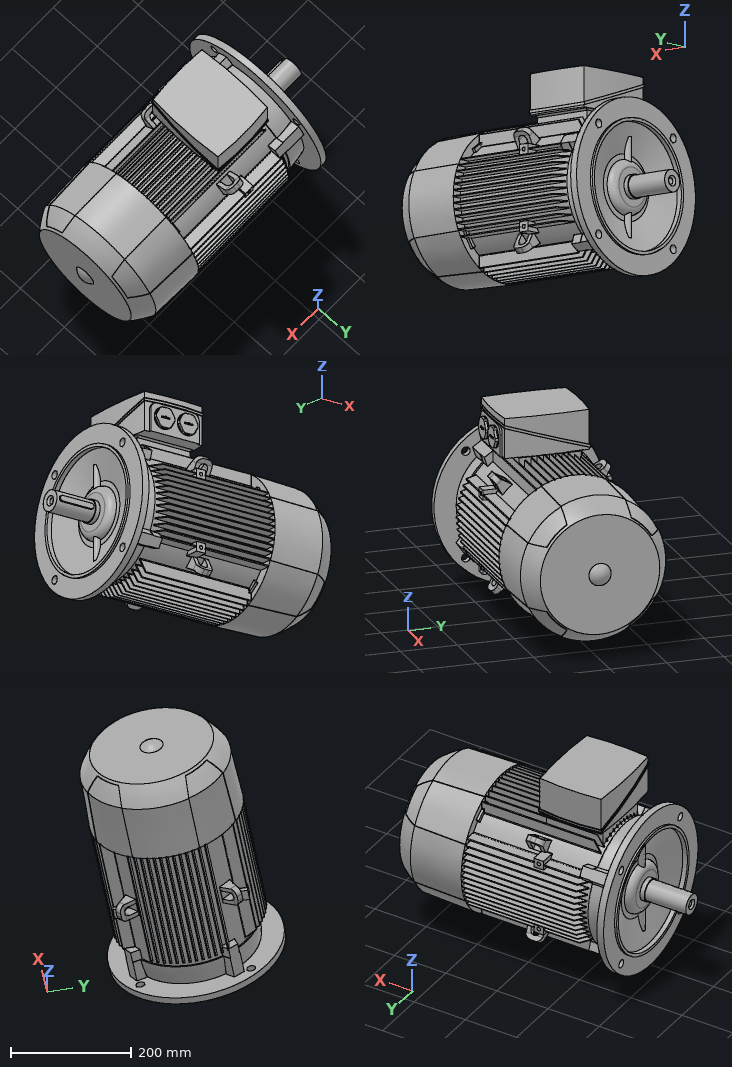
import cadquery as cq
import math


SHAFT_R = 19.0
SHAFT_LENGTH = 80.0
SHOULDER_R = 20.7
KEY_LENGTH = 70.0
KEY_WIDTH = 10.0
KEY_TOP = 22.0
KEY_END_GAP = 5.0
CENTRE_HOLE_R = 5.5
CENTRE_HOLE_DEPTH = 30.0
CENTRE_SINK_R = 9.0
DRILL_POINT_ANGLE = 118.0

FLANGE_R = 150.0
FLANGE_THICKNESS = 13.0
SPIGOT_R = 115.0
SPIGOT_HEIGHT = 4.0
BOLT_CIRCLE_R = 132.5
BOLT_HOLE_R = 7.25

DISH_R = 109.5
DISH_WALL_END = 5.0
DISH_FLOOR_R = 57.0
DISH_FLOOR_X = 22.3
HUB_R = 47.5
HUB_FACE_R = 33.7
RIB_R = 6.0
RIB_X = 17.8
RIB_TIP = 85.6
RIB_ROOT = 36.0

SHIELD_START_R = 111.0
SHIELD_MID_R = 114.5
SHIELD_R = 115.5
SHIELD_END = 51.5
LUG_ANGLE = 35.0
LUG_OUTER_R = 128.5
LUG_OUTER_WIDTH = 20.5
LUG_ROOT_R = 113.0
LUG_ROOT_WIDTH = 29.5
LUG_SLIMMING = 1.5
LUG_BASE_R = 100.0
LUG_END = 71.0

BARREL_R = 112.7
FIN_R = 130.5
FIN_COUNT = 13
FIN_PITCH = 10.9
FIN_THICKNESS = 1.8
FIN_START = 57.0
FIN_RAMP_LENGTH = 13.0

COWL_START = 290.0
COWL_R = 131.0
COWL_BEND_X = 391.0
COWL_BEND_R = 128.0
COWL_END = 426.5
COWL_END_R = 105.0
COWL_BULGE = 1.5
PANEL_EDGE = 56.6
PANEL_END = 422.0
PANEL_DEPTH = 0.8
CLIP_ANGLE = 55.0
CLIP_BASE_R = 107.0
CLIP_R = 118.5
CLIP_WIDTH = 37.0
CLIP_LENGTH = 5.0
KNOB_R = 19.5
KNOB_HEIGHT = 8.5

EYE_X = 166.5
EYE_WIDTH = 33.0
EYE_HOLE_WIDTH = 17.4
EYE_TIP_R = 144.7
EYE_NECK_R = 135.0
EYE_ROOT_R = 113.0
EYE_BASE_R = 105.0
EYE_TIP_THICKNESS = 11.0
EYE_ROOT_THICKNESS = 24.0
EYE_HOLE_TOP_R = 135.5
EYE_CORNER_R = 12.0
EYE_HOLE_CORNER_R = 8.0

BLOCK_X = 148.8
BLOCK_LENGTH = 19.0
BLOCK_Z = 65.4
BLOCK_HEIGHT = 17.4
BLOCK_INNER_Y = 86.0
BLOCK_OUTER_Y = 114.0
BLOCK_HOLE_R = 3.2
BLOCK_HOLE_DEPTH = 12.0

BOX_X0 = 55.5
BOX_X1 = 175.5
BOX_Y0 = -81.5
BOX_Y1 = 67.5
BOX_BULGE = 3.5
BOX_BOTTOM = 131.8
BOX_TOP = 202.0
SEAM_Z_FRONT = 188.5
SEAM_Z_BACK = 137.0
SEAM_THICKNESS = 5.0
SEAM_OVERHANG = 1.2
NECK_X0 = 60.0
NECK_X1 = 170.5
NECK_Y = 55.0
NECK_TAPER_HEIGHT = 3.5

PLATE_X0 = 65.0
PLATE_X1 = 166.0
PLATE_TOP = 185.0
PLATE_CORNER = 14.0
PLATE_Y = -86.2
PLUG_X = (91.3, 139.5)
PLUG_Z = 159.8
PLUG_COLLAR_R = 19.2
PLUG_COLLAR_Y = -88.0
PLUG_Y = -92.6
PLUG_ACROSS_FLATS = 35.5
PLUG_SLOT_LENGTH = 16.6
PLUG_STUD_WIDTH = 2.4
PLUG_STUD_HEIGHT = 4.0
PLUG_STUD_PROJECTION = 0.4
PLUG_SLOT_WIDTH = 2.0
PLUG_SLOT_DEPTH = 1.5

BOX_MID_X = (BOX_X0 + BOX_X1) / 2
BOX_MID_Y = (BOX_Y0 + BOX_Y1) / 2


def turn(shape, angle):
    """Turn a shape about the shaft axis."""
    return shape.rotate((0, 0, 0), (1, 0, 0), angle)


def around(shape, first_angle):
    """Four copies of a shape, a quarter turn apart about the shaft axis."""
    copies = turn(shape, first_angle)
    for quarter in (90, 180, 270):
        copies = copies.union(turn(shape, first_angle + quarter))
    return copies


def box(x0, x1, y0, y1, z0, z1):
    return cq.Workplane("XY").box(x1 - x0, y1 - y0, z1 - z0, centered=False).translate((x0, y0, z0))


def revolve(profile):
    """Revolve an (x, radius) profile about the shaft axis."""
    return profile.close().revolve(360, (0, 0, 0), (1, 0, 0))


def disc(x0, x1, radius):
    return cq.Workplane("YZ", origin=(x0, 0, 0)).circle(radius).extrude(x1 - x0)


def drive_end():
    """Flange, spigot and end shield, hollowed by the dish around the bearing hub."""
    shield = revolve(
        cq.Workplane("XY")
        .moveTo(-SPIGOT_HEIGHT, 0)
        .lineTo(-SPIGOT_HEIGHT, SPIGOT_R)
        .lineTo(0, SPIGOT_R)
        .lineTo(0, FLANGE_R)
        .lineTo(FLANGE_THICKNESS, FLANGE_R)
        .lineTo(FLANGE_THICKNESS, SHIELD_START_R)
        .threePointArc(
            ((FLANGE_THICKNESS + SHIELD_END) / 2, SHIELD_MID_R),
            (SHIELD_END, SHIELD_R),
        )
        .lineTo(SHIELD_END, 0)
    )
    hub_round_r = HUB_R - HUB_FACE_R
    hub_face_x = DISH_FLOOR_X - hub_round_r
    diagonal = hub_round_r * math.sqrt(0.5)
    dish = revolve(
        cq.Workplane("XY")
        .moveTo(-SPIGOT_HEIGHT, 0)
        .lineTo(-SPIGOT_HEIGHT, DISH_R)
        .lineTo(DISH_WALL_END, DISH_R)
        .lineTo(DISH_FLOOR_X, DISH_FLOOR_R)
        .lineTo(DISH_FLOOR_X, HUB_R)
        .threePointArc(
            (DISH_FLOOR_X - diagonal, HUB_FACE_R + diagonal),
            (hub_face_x, HUB_FACE_R),
        )
        .lineTo(hub_face_x, 0)
    )
    shield = shield.cut(dish)
    rib = cq.Workplane("XY", origin=(RIB_X, 0, RIB_ROOT)).circle(RIB_R).extrude(RIB_TIP - RIB_ROOT)
    for angle in (0, 180):
        shield = shield.union(turn(rib, angle))
    bolt_hole = disc(0, FLANGE_THICKNESS, BOLT_HOLE_R).translate((0, BOLT_CIRCLE_R, 0))
    return shield.cut(around(bolt_hole, 45))


def shield_lugs():
    """Screw lugs behind the flange, narrowing outwards and a little slimmer on the barrel."""

    def lug(x0, x1, outer_width, root_width):
        return (
            cq.Workplane("YZ", origin=(x0, 0, 0))
            .moveTo(LUG_BASE_R, -root_width / 2)
            .lineTo(LUG_ROOT_R, -root_width / 2)
            .lineTo(LUG_OUTER_R, -outer_width / 2)
            .lineTo(LUG_OUTER_R, outer_width / 2)
            .lineTo(LUG_ROOT_R, root_width / 2)
            .lineTo(LUG_BASE_R, root_width / 2)
            .close()
            .extrude(x1 - x0)
        )

    shield_part = lug(FLANGE_THICKNESS, SHIELD_END, LUG_OUTER_WIDTH, LUG_ROOT_WIDTH)
    barrel_part = lug(
        SHIELD_END, LUG_END, LUG_OUTER_WIDTH - LUG_SLIMMING, LUG_ROOT_WIDTH - LUG_SLIMMING
    )
    return around(shield_part.union(barrel_part), LUG_ANGLE)


def shaft():
    body = disc(-SHAFT_LENGTH, SHIELD_END, SHAFT_R).union(disc(0, SHIELD_END, SHOULDER_R))
    key_start = KEY_END_GAP - SHAFT_LENGTH
    key = (
        cq.Workplane("XZ", origin=(key_start + KEY_LENGTH / 2, 0, 0))
        .slot2D(KEY_LENGTH, KEY_WIDTH)
        .extrude(KEY_TOP)
    )
    drill_tip = CENTRE_HOLE_R / math.tan(math.radians(DRILL_POINT_ANGLE / 2))
    sink_depth = CENTRE_SINK_R - CENTRE_HOLE_R
    hole = revolve(
        cq.Workplane("XY")
        .moveTo(-SHAFT_LENGTH, 0)
        .lineTo(-SHAFT_LENGTH, CENTRE_SINK_R)
        .lineTo(sink_depth - SHAFT_LENGTH, CENTRE_HOLE_R)
        .lineTo(CENTRE_HOLE_DEPTH - SHAFT_LENGTH, CENTRE_HOLE_R)
        .lineTo(CENTRE_HOLE_DEPTH + drill_tip - SHAFT_LENGTH, 0)
    )
    return body.union(key).cut(hole)


def barrel():
    """Plain barrel with parallel cooling fins on four sides, cut to a round envelope."""
    core = disc(SHIELD_END, COWL_START, BARREL_R)
    envelope = revolve(
        cq.Workplane("XY")
        .moveTo(FIN_START, 0)
        .lineTo(FIN_START, BARREL_R)
        .lineTo(FIN_START + FIN_RAMP_LENGTH, FIN_R)
        .lineTo(COWL_START, FIN_R)
        .lineTo(COWL_START, 0)
    )
    first = -FIN_PITCH * (FIN_COUNT - 1) / 2
    for index in range(FIN_COUNT):
        z = first + index * FIN_PITCH
        slab = box(
            FIN_START, COWL_START, -FIN_R, FIN_R, z - FIN_THICKNESS / 2, z + FIN_THICKNESS / 2
        )
        for angle in (0, 90):
            core = core.union(turn(slab, angle).intersect(envelope))
    return core


def cowl_body(inset):
    """Solid of the fan cowl with its outer surface moved inwards by the inset."""
    return revolve(
        cq.Workplane("XY")
        .moveTo(COWL_START, 0)
        .lineTo(COWL_START, COWL_R - inset)
        .lineTo(COWL_BEND_X, COWL_BEND_R - inset)
        .threePointArc(
            (
                (COWL_BEND_X + COWL_END) / 2,
                (COWL_BEND_R + COWL_END_R) / 2 + COWL_BULGE - inset,
            ),
            (COWL_END, COWL_END_R - inset),
        )
        .lineTo(COWL_END, 0)
    )


def cowl():
    """Fan cowl with four shallow recessed panels, mounting clips and a domed end knob."""
    panel_floor = cowl_body(PANEL_DEPTH)
    corner = box(COWL_START, PANEL_END, PANEL_EDGE, COWL_R, PANEL_EDGE, COWL_R)
    body = cowl_body(0).cut(around(corner.cut(panel_floor), 0))
    clip = box(
        COWL_START - CLIP_LENGTH, COWL_START, CLIP_BASE_R, CLIP_R, -CLIP_WIDTH / 2, CLIP_WIDTH / 2
    )
    dome_r = (KNOB_R**2 + KNOB_HEIGHT**2) / (2 * KNOB_HEIGHT)
    half_angle = math.asin(KNOB_R / dome_r) / 2
    dome_centre = COWL_END + KNOB_HEIGHT - dome_r
    knob = revolve(
        cq.Workplane("XY")
        .moveTo(PANEL_END, 0)
        .lineTo(PANEL_END, KNOB_R)
        .lineTo(COWL_END, KNOB_R)
        .threePointArc(
            (dome_centre + dome_r * math.cos(half_angle), dome_r * math.sin(half_angle)),
            (COWL_END + KNOB_HEIGHT, 0),
        )
    )
    return body.union(around(clip, CLIP_ANGLE)).union(knob)


def lifting_eyes():
    """Arched eyes on the diagonals, flaring towards the barrel."""
    tip = EYE_TIP_THICKNESS / 2
    root = EYE_ROOT_THICKNESS / 2
    wedge = (
        cq.Workplane("YZ", origin=(EYE_X - EYE_WIDTH / 2, 0, 0))
        .moveTo(EYE_BASE_R, -root)
        .lineTo(EYE_ROOT_R, -root)
        .lineTo(EYE_NECK_R, -tip)
        .lineTo(EYE_TIP_R, -tip)
        .lineTo(EYE_TIP_R, tip)
        .lineTo(EYE_NECK_R, tip)
        .lineTo(EYE_ROOT_R, root)
        .lineTo(EYE_BASE_R, root)
        .close()
        .extrude(EYE_WIDTH)
    )

    def rounded_block(width, inner_r, outer_r, corner_r):
        block = box(EYE_X - width / 2, EYE_X + width / 2, inner_r, outer_r, -root, root)
        return block.edges("|Z and >Y").fillet(corner_r)

    eye = wedge.intersect(rounded_block(EYE_WIDTH, EYE_BASE_R, EYE_TIP_R, EYE_CORNER_R))
    eye = eye.cut(rounded_block(EYE_HOLE_WIDTH, EYE_ROOT_R, EYE_HOLE_TOP_R, EYE_HOLE_CORNER_R))
    return around(eye, 45)


def mirrored_on_sides(shape):
    """Four copies of a shape, mirrored about the horizontal and vertical planes of the shaft."""
    pair = shape.union(shape.mirror("XY"))
    return pair.union(pair.mirror("XZ"))


def earthing_blocks():
    block = box(
        BLOCK_X - BLOCK_LENGTH / 2,
        BLOCK_X + BLOCK_LENGTH / 2,
        -BLOCK_OUTER_Y,
        -BLOCK_INNER_Y,
        BLOCK_Z - BLOCK_HEIGHT / 2,
        BLOCK_Z + BLOCK_HEIGHT / 2,
    )
    return mirrored_on_sides(block)


def earthing_holes():
    hole = (
        cq.Workplane("XZ", origin=(BLOCK_X, BLOCK_HOLE_DEPTH - BLOCK_OUTER_Y, BLOCK_Z))
        .circle(BLOCK_HOLE_R)
        .extrude(BLOCK_HOLE_DEPTH)
    )
    return mirrored_on_sides(hole)


def box_prism(overhang):
    """Terminal box outline with four bowed walls, grown by the overhang."""
    x0 = BOX_X0 - overhang
    x1 = BOX_X1 + overhang
    y0 = BOX_Y0 - overhang
    y1 = BOX_Y1 + overhang
    return (
        cq.Workplane("XY", origin=(0, 0, BOX_BOTTOM))
        .moveTo(x0, y0)
        .threePointArc((BOX_MID_X, y0 - BOX_BULGE), (x1, y0))
        .threePointArc((x1 + BOX_BULGE, BOX_MID_Y), (x1, y1))
        .threePointArc((BOX_MID_X, y1 + BOX_BULGE), (x0, y1))
        .threePointArc((x0 - BOX_BULGE, BOX_MID_Y), (x0, y0))
        .close()
        .extrude(BOX_TOP - BOX_BOTTOM)
    )


def seam():
    """Sloping rim where the lid meets the base of the terminal box."""
    y0 = BOX_Y0 - BOX_BULGE
    y1 = BOX_Y1 + BOX_BULGE
    slope = (SEAM_Z_BACK - SEAM_Z_FRONT) / (y1 - y0)
    reach = 2 * BOX_BULGE
    half = SEAM_THICKNESS / 2
    front_z = SEAM_Z_FRONT - slope * reach
    back_z = SEAM_Z_BACK + slope * reach
    band = (
        cq.Workplane("YZ")
        .moveTo(y0 - reach, front_z - half)
        .lineTo(y1 + reach, back_z - half)
        .lineTo(y1 + reach, back_z + half)
        .lineTo(y0 - reach, front_z + half)
        .close()
        .extrude(BOX_X1 + reach)
    )
    return box_prism(SEAM_OVERHANG).intersect(band)


def cable_entry():
    """Entry plate with rounded upper corners and two hexagonal blanking plugs."""
    plate = box(PLATE_X0, PLATE_X1, PLATE_Y, BOX_Y0, BOX_BOTTOM, PLATE_TOP)
    plate = plate.edges("|Y and >Z").fillet(PLATE_CORNER)

    corner_diameter = PLUG_ACROSS_FLATS / math.cos(math.radians(30))
    for x in PLUG_X:
        wall = cq.Workplane("XZ", origin=(x, BOX_Y0, PLUG_Z))
        collar = wall.circle(PLUG_COLLAR_R).extrude(BOX_Y0 - PLUG_COLLAR_Y)
        hexagon = wall.polygon(6, corner_diameter).extrude(BOX_Y0 - PLUG_Y)
        head = hexagon.intersect(wall.circle(PLUG_COLLAR_R).extrude(BOX_Y0 - PLUG_Y))
        slot_floor = cq.Workplane("XZ", origin=(x, PLUG_Y + PLUG_SLOT_DEPTH, PLUG_Z))
        slot = slot_floor.rect(PLUG_SLOT_LENGTH, PLUG_SLOT_WIDTH).extrude(PLUG_SLOT_DEPTH)
        stud = slot_floor.rect(PLUG_STUD_WIDTH, PLUG_STUD_HEIGHT)
        stud = stud.extrude(PLUG_SLOT_DEPTH + PLUG_STUD_PROJECTION)
        plate = plate.union(collar).union(head).cut(slot).union(stud)
    return plate


def terminal_box():
    neck = box(NECK_X0, NECK_X1, -NECK_Y, NECK_Y, 0, BOX_BOTTOM)
    taper = (
        cq.Workplane("XY", origin=(BOX_MID_X, 0, BOX_BOTTOM - NECK_TAPER_HEIGHT))
        .rect(NECK_X1 - NECK_X0, 2 * NECK_Y)
        .extrude(NECK_TAPER_HEIGHT, taper=-45)
    )
    return box_prism(0).union(seam()).union(cable_entry()).union(taper).union(neck)


result = drive_end()
for part in (
    shield_lugs(),
    shaft(),
    barrel(),
    cowl(),
    lifting_eyes(),
    earthing_blocks(),
    terminal_box(),
):
    result = result.union(part)
result = result.cut(earthing_holes())